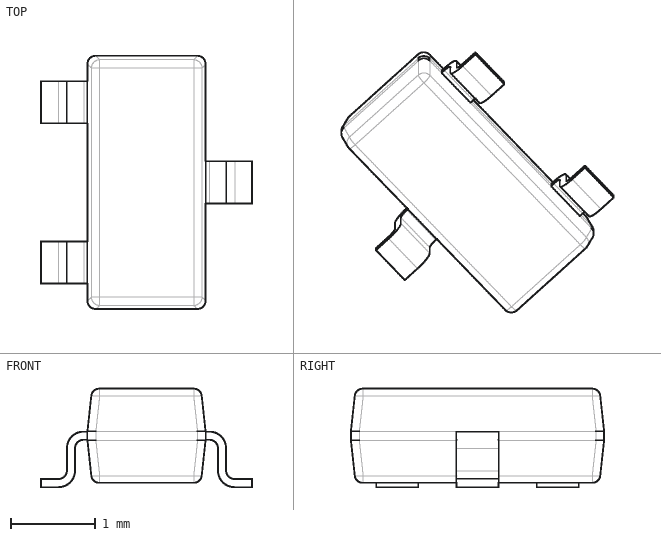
import cadquery as cq

HOUSING_WIDTH = 1.4
HOUSING_LENGTH = 3.0
HOUSING_HEIGHT = 1.12
STANDOFF = 0.05
BAND_HEIGHT = 0.11
DRAFT_ANGLE = 6.2
EDGE_RADIUS = 0.1

LEAD_SPAN = 2.5
LEAD_WIDTH = 0.5
LEAD_THICKNESS = 0.1
LEAD_PITCH = 1.9
TOE_TO_SHANK = 0.305
BEND_INNER_RADIUS = 0.1

MID_HEIGHT = STANDOFF + HOUSING_HEIGHT / 2
BEND_OUTER_RADIUS = BEND_INNER_RADIUS + LEAD_THICKNESS


def make_housing():
    """Block with a straight band at mid-height and walls leaning inward above and below it."""
    half_height = HOUSING_HEIGHT / 2
    half_band = BAND_HEIGHT / 2

    band = (
        cq.Workplane("XY")
        .box(HOUSING_WIDTH, HOUSING_LENGTH, BAND_HEIGHT)
        .edges("|Z")
        .fillet(EDGE_RADIUS)
    )
    upper_half = (
        cq.Workplane("XY")
        .workplane(offset=half_band)
        .rect(HOUSING_WIDTH, HOUSING_LENGTH)
        .extrude(half_height - half_band, taper=DRAFT_ANGLE)
        .edges("not (|X or |Y)")
        .fillet(EDGE_RADIUS)
        .faces(">Z")
        .edges()
        .fillet(EDGE_RADIUS)
    )
    lower_half = upper_half.mirror("XY")
    return band.union(upper_half).union(lower_half).translate((0, 0, MID_HEIGHT))


def make_lead(side, center_y):
    """S-shaped lead from the housing wall down to the seating plane; side is -1 for -X, +1 for +X."""
    wall_x = HOUSING_WIDTH / 2
    toe_x = LEAD_SPAN / 2
    shank_outer_x = toe_x - TOE_TO_SHANK
    shank_inner_x = shank_outer_x - LEAD_THICKNESS
    top_z = MID_HEIGHT + LEAD_THICKNESS / 2
    shoulder_x = shank_outer_x - BEND_OUTER_RADIUS
    shank_top_z = top_z - BEND_OUTER_RADIUS
    heel_x = shank_inner_x + BEND_OUTER_RADIUS
    shank_bottom_z = BEND_OUTER_RADIUS

    profile = (
        cq.Workplane("XZ")
        .moveTo(wall_x, top_z)
        .lineTo(shoulder_x, top_z)
        .radiusArc((shank_outer_x, shank_top_z), BEND_OUTER_RADIUS)
        .lineTo(shank_outer_x, shank_bottom_z)
        .radiusArc((heel_x, LEAD_THICKNESS), -BEND_INNER_RADIUS)
        .lineTo(toe_x, LEAD_THICKNESS)
        .lineTo(toe_x, 0)
        .lineTo(heel_x, 0)
        .radiusArc((shank_inner_x, shank_bottom_z), BEND_OUTER_RADIUS)
        .lineTo(shank_inner_x, shank_top_z)
        .radiusArc((shoulder_x, top_z - LEAD_THICKNESS), -BEND_INNER_RADIUS)
        .lineTo(wall_x, top_z - LEAD_THICKNESS)
        .close()
    )
    lead = profile.extrude(LEAD_WIDTH / 2, both=True)
    if side < 0:
        lead = lead.mirror("YZ")
    return lead.translate((0, center_y, 0))


LEAD_PLACES = [(-1, -LEAD_PITCH / 2), (-1, LEAD_PITCH / 2), (1, 0)]

housing = make_housing()
leads = [make_lead(side, center_y) for side, center_y in LEAD_PLACES]

result = cq.Compound.makeCompound([housing.val(), *[lead.val() for lead in leads]])